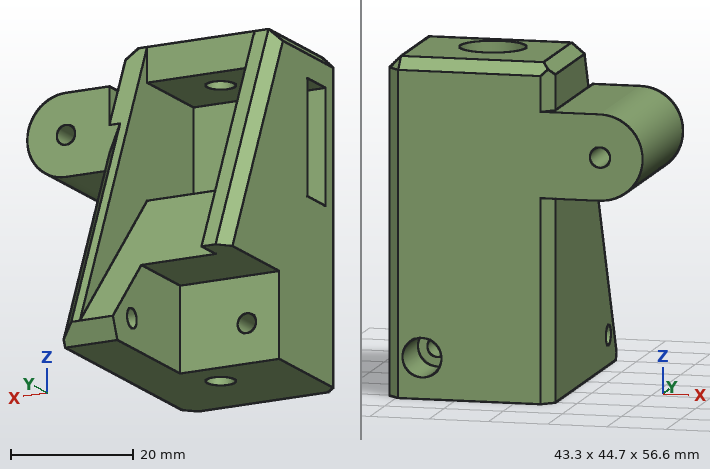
import cadquery as cq

WIDTH = 28.0
HEIGHT = 56.6
TOP_DEPTH = 21.0
TIP_Y, TIP_Z = 44.65, 3.75
BASE_DEPTH = 43.1
EDGE_CHAMFER = 2.0
SLOPE_RUN = (TIP_Y - TOP_DEPTH) / (HEIGHT - TIP_Z)

LUG_RADIUS = 7.2
LUG_END = 43.25
LUG_X = LUG_END - LUG_RADIUS
LUG_Z = 41.5
LUG_DEPTH = 27.5

CHAMBER_LEFT = 4.6
CHAMBER_RIGHT = 24.45
CHAMBER_FRONT = 4.7
CHAMBER_FLOOR = 30.35
CHAMBER_CEILING = 50.5
WINDOW_LENGTH = 6.35

NOTCH_WIDTH = 18.35
NOTCH_HEIGHT = 15.0

PIN_DIAMETER = 3.4
EAR_HOLE_Y, EAR_HOLE_Z = 38.0, 5.05
SCREW_X, SCREW_Z = 6.0, 6.9
SCREW_HEAD_DIAMETER = 6.55
SCREW_HEAD_DEPTH = TOP_DEPTH / 2
TOP_HOLE_X = (CHAMBER_LEFT + CHAMBER_RIGHT) / 2
TOP_HOLE_Y = 14.0
TOP_HOLE_DIAMETER = 5.0
TOP_BORE_DIAMETER = 11.05
TOP_BORE_DEPTH = 3.05


def block(x_range, y_range, z_range):
    """Box between the given limits on each axis."""
    size = [high - low for low, high in (x_range, y_range, z_range)]
    corner = (x_range[0], y_range[0], z_range[0])
    return cq.Workplane("XY").box(*size, centered=False).translate(corner)


def side_prism(points, x_start, x_end):
    """Extrude a Y-Z outline along X."""
    return cq.Workplane("YZ", origin=(x_start, 0, 0)).polyline(points).close().extrude(x_end - x_start)


def rod_along_y(x, z, diameter, length):
    """Cylinder that starts at the front face and runs back."""
    return cq.Workplane("XZ").center(x, z).circle(diameter / 2).extrude(-length)


def body():
    outline = [
        (0, 0),
        (BASE_DEPTH, 0),
        (TIP_Y, TIP_Z),
        (TOP_DEPTH, HEIGHT),
        (0, HEIGHT),
    ]
    return side_prism(outline, 0, WIDTH)


def lug():
    straight = block(
        (WIDTH, LUG_X), (0, LUG_DEPTH), (LUG_Z - LUG_RADIUS, LUG_Z + LUG_RADIUS)
    )
    return straight.union(rod_along_y(LUG_X, LUG_Z, 2 * LUG_RADIUS, LUG_DEPTH))


def edges_at(solid, points):
    """For each given point, the edge of the solid whose centre is nearest to it."""
    picked = solid.edges(cq.selectors.NearestToPointSelector(points[0]))
    for point in points[1:]:
        picked = picked.add(solid.edges(cq.selectors.NearestToPointSelector(point)))
    return picked


def slope_y(z):
    """Y of the sloping back at height z."""
    return TOP_DEPTH + (HEIGHT - z) * SLOPE_RUN


def chamfer_edges(solid):
    slope_mid_z = (HEIGHT + TIP_Z) / 2
    left_and_front = [
        (0, 0, HEIGHT / 2),
        (0, TOP_DEPTH / 2, HEIGHT),
        (0, slope_y(slope_mid_z), slope_mid_z),
        (WIDTH / 2, 0, HEIGHT),
    ]
    solid = edges_at(solid, left_and_front).chamfer(EDGE_CHAMFER)

    lug_slope_z = HEIGHT - (LUG_DEPTH - TOP_DEPTH) / SLOPE_RUN
    below_lug_z = (lug_slope_z + TIP_Z) / 2
    right = [
        (WIDTH, 0, (LUG_Z - LUG_RADIUS) / 2),
        (WIDTH, 0, (LUG_Z + LUG_RADIUS + HEIGHT) / 2),
        (WIDTH, TOP_DEPTH / 2, HEIGHT),
        (WIDTH, slope_y(below_lug_z), below_lug_z),
    ]
    for point in right:
        solid = edges_at(solid, [point]).chamfer(EDGE_CHAMFER)
    return solid


def chamber():
    room = block(
        (CHAMBER_LEFT, CHAMBER_RIGHT), (CHAMBER_FRONT, TOP_DEPTH), (CHAMBER_FLOOR, CHAMBER_CEILING)
    )
    ramp_outline = [
        (TOP_DEPTH, CHAMBER_FLOOR),
        (TIP_Y, TIP_Z),
        (TIP_Y, HEIGHT),
        (TOP_DEPTH, HEIGHT),
    ]
    return room.union(side_prism(ramp_outline, CHAMBER_LEFT, CHAMBER_RIGHT))


def window():
    return block(
        (0, CHAMBER_LEFT),
        (CHAMBER_FRONT, CHAMBER_FRONT + WINDOW_LENGTH),
        (CHAMBER_FLOOR, CHAMBER_CEILING),
    )


def notch():
    return block((0, NOTCH_WIDTH), (TOP_DEPTH, TIP_Y), (0, NOTCH_HEIGHT))


def top_hole():
    shaft = cq.Workplane("XY").circle(TOP_HOLE_DIAMETER / 2).extrude(HEIGHT)
    bore = (
        cq.Workplane("XY", origin=(0, 0, HEIGHT - TOP_BORE_DEPTH))
        .circle(TOP_BORE_DIAMETER / 2)
        .extrude(TOP_BORE_DEPTH)
    )
    return shaft.union(bore).translate((TOP_HOLE_X, TOP_HOLE_Y, 0))


def front_screw_hole():
    shaft = rod_along_y(SCREW_X, SCREW_Z, PIN_DIAMETER, TOP_DEPTH)
    return shaft.union(rod_along_y(SCREW_X, SCREW_Z, SCREW_HEAD_DIAMETER, SCREW_HEAD_DEPTH))


def ear_hole():
    return cq.Workplane("YZ").center(EAR_HOLE_Y, EAR_HOLE_Z).circle(PIN_DIAMETER / 2).extrude(WIDTH)


result = chamfer_edges(body().union(lug()))
result = result.cut(chamber()).cut(window()).cut(notch())
result = result.cut(top_hole()).cut(front_screw_hole()).cut(ear_hole())
result = result.cut(rod_along_y(LUG_X, LUG_Z, PIN_DIAMETER, LUG_DEPTH))